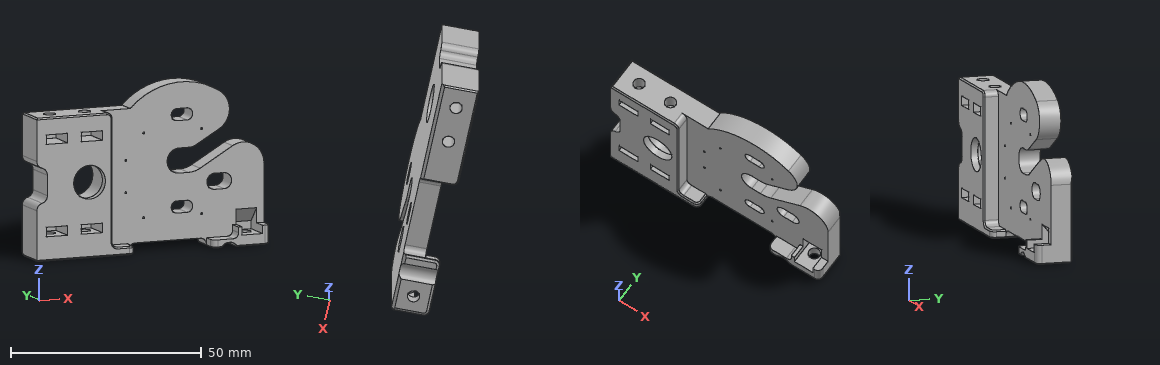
import cadquery as cq
import math

LENGTH = 66.5
DEPTH = 10.0
HEIGHT = 44.4
BODY_TOP = 38.3
PLATE_FRONT = 4.05
EDGE_BREAK = 0.4
CORNER_RADIUS = 1.5
MID_HEIGHT = 20.2

CROWN_RADIUS = 20.55
CROWN_X = 42.95
LOBE_RADIUS = 6.0
UPPER_LOBE_X = 50.7
LOWER_LOBE_Z = 21.15
SLOT_RADIUS = 3.3
SLOT_X = 42.2
SLOT_Z = 23.4
MOUTH_ANGLE = math.radians(30)
UPPER_BEND_RADIUS = 4.0
LOWER_BEND_RADIUS = 6.65

NOTCH_DEPTH = 3.0
NOTCH_FLAT = 5.45
NOTCH_RADIUS = 2.0

BLOCK_RIGHT = 21.55
TAB_RIGHT = 27.9
LEDGE_Z = 2.25
FOOT_LEFT = 50.1
ARCH_RADIUS = 1.8
FOOT_STEP_X = 57.5
FOOT_TOP = 5.25
RELIEF_X = 54.9
RELIEF_HEIGHT = 1.4
RELIEF_RADIUS = 2.5
BACK_BEVEL_Y = 1.0
BACK_BEVEL_Z = 0.8

BORE_X = 15.0
BORE_DIAMETER = 9.0
COUNTERBORE_DIAMETER = 10.1
BORE_NECK = 2.0
SCREW_DIAMETER = 3.2
SCREW_Y = DEPTH / 2
SCREW_XS = (5.7, 15.7)
NUT_WIDTH = 6.0
NUT_THICKNESS = 2.5
NUT_BACK = 7.8
NUT_ZS = (7.8, 32.45)
FOOT_NUT_X = 61.45
FOOT_NUT_WIDTH = 5.85
FOOT_NUT_FLOOR = 3.05
FOOT_NUT_MOUTH = 9.3

ADJUST_SLOTS = ((43.1, 35.7), (43.1, 11.05))
ADJUST_LENGTH = 6.05
ADJUST_WIDTH = 3.2
SIDE_SLOT = (53.7, 17.15)
SIDE_SLOT_LENGTH = 7.0
SIDE_SLOT_WIDTH = 4.25
PIN_POINTS = ((32.2, 8.85), (32.2, 31.5), (48.7, 8.85), (48.7, 31.5), (27.05, 15.9), (27.05, 24.55))
PIN_DIAMETER = 0.45
PIN_DEPTH = 2.0


def front_sketch(y):
    """XZ workplane at the given Y; negative extrusion runs toward +Y."""
    return cq.Workplane(cq.Plane(origin=(0, y, 0), xDir=(1, 0, 0), normal=(0, -1, 0)))


def box(x0, x1, y0, y1, z0, z1):
    return cq.Workplane("XY").box(x1 - x0, y1 - y0, z1 - z0, centered=False).translate((x0, y0, z0))


def polar(centre, radius, angle):
    return (centre[0] + radius * math.cos(angle), centre[1] + radius * math.sin(angle))


def make_plate():
    crown = (CROWN_X, HEIGHT - CROWN_RADIUS)
    lobe_reach = CROWN_RADIUS - LOBE_RADIUS
    lobe_angle = math.acos((UPPER_LOBE_X - CROWN_X) / lobe_reach)
    upper_lobe = polar(crown, lobe_reach, lobe_angle)
    lower_lobe = (LENGTH - LOBE_RADIUS, LOWER_LOBE_Z)
    crown_start_x = CROWN_X - math.sqrt(CROWN_RADIUS**2 - (BODY_TOP - crown[1])**2)

    upper_tangent = polar(upper_lobe, LOBE_RADIUS, MOUTH_ANGLE - math.pi / 2)
    lower_tangent = polar(lower_lobe, LOBE_RADIUS, MOUTH_ANGLE + math.pi / 2)
    slot_top = SLOT_Z + SLOT_RADIUS
    slot_bottom = SLOT_Z - SLOT_RADIUS
    slope = math.tan(MOUTH_ANGLE)
    upper_bend_x = upper_tangent[0] - (upper_tangent[1] - slot_top) / slope
    lower_bend_x = lower_tangent[0] - (lower_tangent[1] - slot_bottom) / slope

    plate = (
        front_sketch(PLATE_FRONT)
        .moveTo(0, 0)
        .lineTo(0, BODY_TOP)
        .lineTo(crown_start_x, BODY_TOP)
        .threePointArc((CROWN_X, HEIGHT), polar(crown, CROWN_RADIUS, lobe_angle))
        .threePointArc(polar(upper_lobe, LOBE_RADIUS, 0), upper_tangent)
        .lineTo(upper_bend_x, slot_top)
        .lineTo(SLOT_X, slot_top)
        .threePointArc((SLOT_X - SLOT_RADIUS, SLOT_Z), (SLOT_X, slot_bottom))
        .lineTo(lower_bend_x, slot_bottom)
        .lineTo(*lower_tangent)
        .threePointArc(polar(lower_lobe, LOBE_RADIUS, math.pi / 4), (LENGTH, LOWER_LOBE_Z))
        .lineTo(LENGTH, 0)
        .close()
        .extrude(PLATE_FRONT - DEPTH)
    )
    bends = ((upper_bend_x, slot_top, UPPER_BEND_RADIUS), (lower_bend_x, slot_bottom, LOWER_BEND_RADIUS))
    for x, z, radius in bends:
        corner = cq.selectors.NearestToPointSelector((x, (PLATE_FRONT + DEPTH) / 2, z))
        plate = plate.edges("|Y").edges(corner).fillet(radius)
    return plate


def make_block():
    """Thick clamp block on the left, with the low tab at its foot."""
    block = (
        front_sketch(0)
        .polyline([(0, 0), (TAB_RIGHT, 0), (TAB_RIGHT, LEDGE_Z), (BLOCK_RIGHT, LEDGE_Z),
                   (BLOCK_RIGHT, BODY_TOP), (0, BODY_TOP)])
        .close()
        .extrude(-PLATE_FRONT)
    )
    on_right = cq.selectors.BoxSelector(
        (BLOCK_RIGHT - EDGE_BREAK, 0, 0), (BLOCK_RIGHT + EDGE_BREAK, DEPTH, HEIGHT))
    block = block.edges("|Y").edges(on_right).fillet(CORNER_RADIUS)
    block = block.edges("|Z and >X and <Y").fillet(CORNER_RADIUS)
    return block


def make_foot():
    foot = (
        front_sketch(0)
        .polyline([(FOOT_LEFT, 0), (LENGTH, 0), (LENGTH, FOOT_TOP), (FOOT_STEP_X, FOOT_TOP),
                   (FOOT_STEP_X, LEDGE_Z), (FOOT_LEFT, LEDGE_Z)])
        .close()
        .extrude(-PLATE_FRONT)
    )
    step = cq.selectors.NearestToPointSelector((FOOT_STEP_X, PLATE_FRONT / 2, LEDGE_Z))
    foot = foot.edges("|Y").edges(step).fillet(CORNER_RADIUS)
    return foot.edges("|Z and <Y").edges("<X or >X").fillet(CORNER_RADIUS)


def break_top_edges(body):
    """Chamfer the block's upper edges, which run on down its front to the tab."""
    block_top = cq.selectors.BoxSelector(
        (-EDGE_BREAK, -EDGE_BREAK, BODY_TOP - EDGE_BREAK),
        (TAB_RIGHT, DEPTH + EDGE_BREAK, BODY_TOP + EDGE_BREAK))
    return body.edges(block_top).edges("<X or <Y or >Y").chamfer(EDGE_BREAK)


def make_arch():
    """Opening under the plate, between the tab and the foot."""
    arch = box(TAB_RIGHT, FOOT_LEFT, 0, DEPTH, 0, LEDGE_Z)
    return arch.edges("|Y and >Z").fillet(ARCH_RADIUS)


def make_notch():
    """Notch in the left side; each end is an S of two tangent arcs."""
    half_flat = NOTCH_FLAT / 2
    concave_x = NOTCH_DEPTH - NOTCH_RADIUS
    convex_x = NOTCH_RADIUS
    arc_rise = math.sqrt((2 * NOTCH_RADIUS)**2 - (convex_x - concave_x)**2)
    half_mouth = half_flat + arc_rise
    join = ((concave_x + convex_x) / 2, half_flat + arc_rise / 2)
    join_angle = math.atan2(arc_rise, convex_x - concave_x)
    concave_mid = polar((concave_x, half_flat), NOTCH_RADIUS, join_angle / 2)
    convex_mid = polar((convex_x, half_mouth), NOTCH_RADIUS, math.pi + join_angle / 2)
    notch = (
        front_sketch(0)
        .moveTo(0, -half_mouth)
        .threePointArc((convex_mid[0], -convex_mid[1]), (join[0], -join[1]))
        .threePointArc((concave_mid[0], -concave_mid[1]), (NOTCH_DEPTH, -half_flat))
        .lineTo(NOTCH_DEPTH, half_flat)
        .threePointArc(concave_mid, join)
        .threePointArc(convex_mid, (0, half_mouth))
        .close()
        .extrude(-DEPTH)
    )
    return notch.translate((0, 0, MID_HEIGHT))


def bevel_sole(body):
    """Low bevel on the bottom face's outer edges, larger along the back."""
    for edge in ("<X", "<Y", ">X"):
        body = body.faces("<Z").edges(edge).chamfer(EDGE_BREAK)
    return body.faces("<Z").edges(">Y").chamfer(BACK_BEVEL_Y, BACK_BEVEL_Z)


def make_back_bevel():
    """Wedge that takes off the back right vertical edge."""
    wedge = cq.Workplane("XY").polyline(
        [(LENGTH, DEPTH), (LENGTH - EDGE_BREAK, DEPTH), (LENGTH, DEPTH - EDGE_BREAK)])
    return wedge.close().extrude(HEIGHT)


def make_relief():
    """Shallow round channel across the bottom of the foot."""
    channel = front_sketch(0).center(RELIEF_X, RELIEF_HEIGHT - RELIEF_RADIUS)
    return channel.circle(RELIEF_RADIUS).extrude(-DEPTH)


def make_bore():
    neck = front_sketch(0).center(BORE_X, MID_HEIGHT).circle(BORE_DIAMETER / 2).extrude(-DEPTH)
    counterbore = front_sketch(BORE_NECK).center(BORE_X, MID_HEIGHT).circle(COUNTERBORE_DIAMETER / 2)
    return neck.union(counterbore.extrude(BORE_NECK - DEPTH))


def screw_hole(x, z0, z1):
    sketch = cq.Workplane("XY").workplane(offset=z0).center(x, SCREW_Y)
    return sketch.circle(SCREW_DIAMETER / 2).extrude(z1 - z0)


def make_block_screws():
    """Screw holes from the top and bottom, each ending in a nut pocket."""
    lower_z, upper_z = NUT_ZS
    cutter = cq.Workplane("XY")
    for x in SCREW_XS:
        cutter = cutter.add(screw_hole(x, 0, lower_z)).add(screw_hole(x, upper_z, BODY_TOP))
        for z in NUT_ZS:
            left = x - NUT_WIDTH / 2
            bottom = z - NUT_THICKNESS / 2
            cutter = cutter.add(box(left, left + NUT_WIDTH, 0, NUT_BACK, bottom, bottom + NUT_THICKNESS))
    return cutter.combine()


def make_foot_screw():
    """Nut pocket open to the front, with a sloped roof, and its screw hole."""
    pocket = (
        cq.Workplane("YZ", origin=(FOOT_NUT_X - FOOT_NUT_WIDTH / 2, 0, 0))
        .polyline([(0, FOOT_NUT_FLOOR), (NUT_BACK, FOOT_NUT_FLOOR), (NUT_BACK, FOOT_TOP),
                   (PLATE_FRONT, FOOT_NUT_MOUTH), (0, FOOT_NUT_MOUTH)])
        .close()
        .extrude(FOOT_NUT_WIDTH)
    )
    return pocket.union(screw_hole(FOOT_NUT_X, 0, FOOT_TOP))


def make_plate_slots():
    adjust = front_sketch(0).pushPoints(ADJUST_SLOTS).slot2D(ADJUST_LENGTH, ADJUST_WIDTH).extrude(-DEPTH)
    side = front_sketch(0).center(*SIDE_SLOT).slot2D(SIDE_SLOT_LENGTH, SIDE_SLOT_WIDTH).extrude(-DEPTH)
    return adjust.union(side)


def make_pin_holes():
    pins = front_sketch(PLATE_FRONT).pushPoints(PIN_POINTS)
    return pins.circle(PIN_DIAMETER / 2).extrude(-PIN_DEPTH)


result = make_plate().union(make_block()).union(make_foot())
result = break_top_edges(result)
result = result.cut(make_arch()).cut(make_notch())
result = bevel_sole(result)
for cutter in (make_back_bevel(), make_relief(), make_bore(), make_block_screws(),
               make_foot_screw(), make_plate_slots(), make_pin_holes()):
    result = result.cut(cutter)